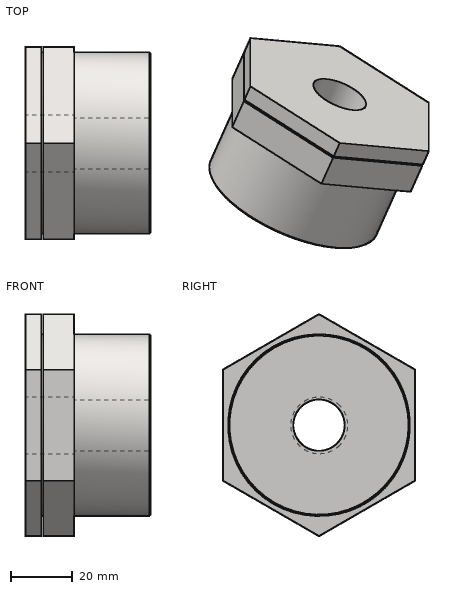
import cadquery as cq
import math

hex_corner_diameter = 72.75
hex_flat_width = hex_corner_diameter * math.cos(math.pi / 6)

total_length = 41.0
front_flange_thickness = 5.25
groove_width = 0.6
rear_flange_thickness = 10.2

body_diameter = 59.6
body_chamfer = 0.5
bore_diameter = 16.7
counterbore_diameter = 18.6
counterbore_depth = front_flange_thickness + groove_width + rear_flange_thickness


def hex_flange(start, thickness):
    """Hexagonal plate whose flats face +Y and -Y."""
    half_width = hex_flat_width / 2
    corner_radius = hex_corner_diameter / 2
    shoulder = corner_radius / 2
    outline = [
        (0, corner_radius),
        (half_width, shoulder),
        (half_width, -shoulder),
        (0, -corner_radius),
        (-half_width, -shoulder),
        (-half_width, shoulder),
    ]
    return cq.Workplane("YZ", origin=(start, 0, 0)).polyline(outline).close().extrude(thickness)


def cylinder(diameter, length):
    """Cylinder along +X from the head face."""
    return cq.Workplane("YZ").circle(diameter / 2).extrude(length)


body = cylinder(body_diameter, total_length).faces(">X").chamfer(body_chamfer)
front_flange = hex_flange(0, front_flange_thickness)
rear_flange = hex_flange(front_flange_thickness + groove_width, rear_flange_thickness)

bore = cylinder(bore_diameter, total_length)
counterbore = cylinder(counterbore_diameter, counterbore_depth)

result = body.union(front_flange).union(rear_flange).cut(bore).cut(counterbore)